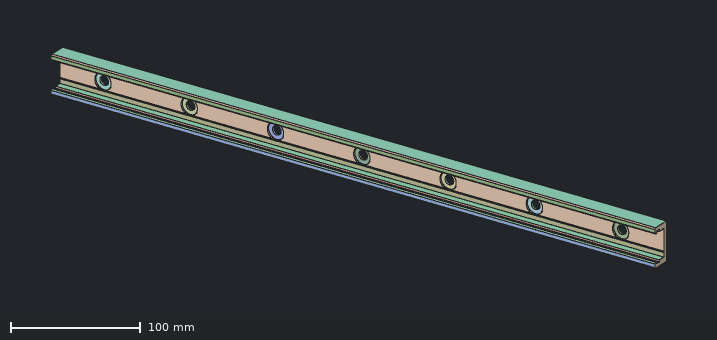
import cadquery as cq

length = 560.0
depth = 16.0
height = 35.0
web_thickness = 4.0
flange_thickness = 5.3

lip_width = 3.0
groove_width = 3.5
groove_depth = 1.5
lip_chamfer = 1.0

hole_count = 7
hole_pitch = length / hole_count
hole_diameter = 8.0
counterbore_diameter = 15.0
counterbore_depth = 1.5

mark_z = -counterbore_diameter / 2
mark_width = 1.0
mark_depth = 0.5

front = -depth / 2
web_face = depth / 2 - web_thickness
inner_height = height - 2 * flange_thickness


def bar(y_start, y_end, bar_height):
    """Full-length bar centred on Z, spanning the given Y range."""
    return cq.Workplane("XY").box(length, y_end - y_start, bar_height).translate((0, (y_start + y_end) / 2, 0))


def web_cylinders(diameter, cylinder_depth):
    """Cylinders at every fixing hole, running from the web's inner face toward +Y."""
    return (
        cq.Workplane("XZ", origin=(0, web_face, 0))
        .rarray(hole_pitch, 5.5, hole_count, 1)
        .circle(diameter / 2)
        .extrude(-cylinder_depth)
    )


channel = bar(front, depth / 2, height).cut(bar(front, web_face, inner_height))
channel = channel.faces("<Y").edges("|X").chamfer(lip_chamfer)

groove_start = front + lip_width
channel = channel.cut(bar(groove_start, groove_start + groove_width, inner_height + 2 * groove_depth))

channel = channel.cut(web_cylinders(hole_diameter, web_thickness))
channel = channel.cut(web_cylinders(counterbore_diameter, counterbore_depth))

mark_outline = [
    (web_face, mark_z - mark_width / 2),
    (web_face + mark_depth, mark_z),
    (web_face, mark_z + mark_width / 2),
]
mark = cq.Workplane("YZ").polyline(mark_outline).close().extrude(length / 2, both=True)
result = channel.cut(mark)